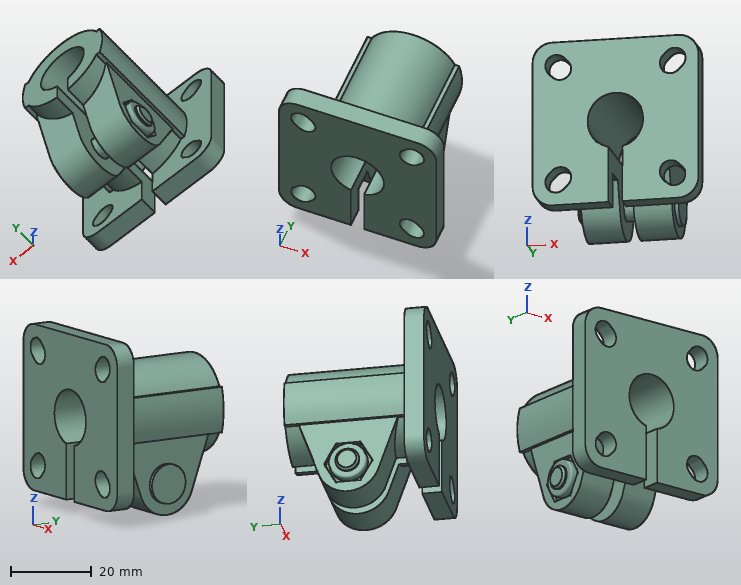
import cadquery as cq
import math


flange_size = 42.0
flange_thickness = 5.0
flange_corner_radius = 5.0

slot_width = 5.5
slot_inner_offset = 14.0
slot_outer_offset = 15.0

barrel_diameter = 25.0
barrel_length = 32.0
side_half_height = 5.75
side_edge_x = 12.25
side_crown_x = 13.05

bore_diameter = 14.1
slit_width = 3.5

ear_outer_x = 11.5
ear_tip_radius = 8.0
ear_root_half_width = 12.5
ear_root_z = -side_half_height

bolt_y = flange_thickness + barrel_length / 2
bolt_z = -17.0
bolt_diameter = 6.0
bolt_end_x = -13.5
bolt_end_chamfer = 0.6
bolt_head_diameter = 10.0
bolt_head_end_x = 12.5

pocket_across_flats = 10.6
nut_height = 6.0
nut_end_x = -12.5
nut_seat_x = nut_end_x + nut_height
nut_corner_diameter = 11.55
nut_face_diameter = 9.98
nut_chamfer_angle = 15.0
collar_diameter = 9.6
collar_height = 2.0
collar_fillet = 0.5

overall_length = flange_thickness + barrel_length


def xz_plane(y):
    """Sketch plane at the given Y: sketch x is X, sketch y is Z, extrusion goes to +Y."""
    return cq.Workplane(cq.Plane(origin=(0, y, 0), xDir=(1, 0, 0), normal=(0, -1, 0)))


def bolt_plane(x):
    """Sketch plane at the given X centred on the bolt axis: sketch x is Y, sketch y is Z."""
    return cq.Workplane(cq.Plane(origin=(x, bolt_y, bolt_z), xDir=(0, 1, 0), normal=(1, 0, 0)))


def make_flange():
    plate = xz_plane(0).rect(flange_size, flange_size).extrude(-flange_thickness)
    return plate.edges("|Y").fillet(flange_corner_radius)


def make_slots():
    """Cutters for the four diagonal slots."""
    middle = (slot_inner_offset + slot_outer_offset) / 2
    overall = math.sqrt(2) * (slot_outer_offset - slot_inner_offset) + slot_width
    slots = cq.Workplane()
    for side_x in (-1, 1):
        for side_z in (-1, 1):
            slot = (
                xz_plane(0)
                .center(side_x * middle, side_z * middle)
                .slot2D(overall, slot_width, 45 * side_x * side_z)
                .extrude(-flange_thickness)
            )
            slots = slots.add(slot)
    return slots.combine()


def make_barrel():
    """Round barrel joined with a band whose two ends are crowned."""
    tube = xz_plane(0).circle(barrel_diameter / 2).extrude(-overall_length)
    band = (
        xz_plane(0)
        .moveTo(-side_edge_x, side_half_height)
        .lineTo(side_edge_x, side_half_height)
        .threePointArc((side_crown_x, 0), (side_edge_x, -side_half_height))
        .lineTo(-side_edge_x, -side_half_height)
        .threePointArc((-side_crown_x, 0), (-side_edge_x, side_half_height))
        .close()
        .extrude(-overall_length)
    )
    return tube.union(band)


def make_ears():
    """Block with a round tip about the bolt and sides tangent to that tip."""
    root_height = ear_root_z - bolt_z
    root_distance = math.hypot(ear_root_half_width, root_height)
    root_angle = math.atan2(root_height, ear_root_half_width)
    tangent_angle = root_angle - math.acos(ear_tip_radius / root_distance)
    tangent_y = ear_tip_radius * math.cos(tangent_angle)
    tangent_z = ear_tip_radius * math.sin(tangent_angle)
    return (
        bolt_plane(-ear_outer_x)
        .moveTo(-ear_root_half_width, root_height)
        .lineTo(ear_root_half_width, root_height)
        .lineTo(tangent_y, tangent_z)
        .threePointArc((0, -ear_tip_radius), (-tangent_y, tangent_z))
        .close()
        .extrude(2 * ear_outer_x)
    )


def make_bore_and_slit():
    bore = xz_plane(0).circle(bore_diameter / 2).extrude(-overall_length)
    slit_depth = ear_tip_radius - bolt_z
    slit = xz_plane(0).center(0, -slit_depth / 2).rect(slit_width, slit_depth).extrude(-overall_length)
    return bore.union(slit)


def make_hexagon(start_x, end_x):
    """Hexagonal prism about the bolt axis with two corners along Y."""
    across_corners = pocket_across_flats / math.cos(math.pi / 6)
    return bolt_plane(start_x).polygon(6, across_corners).extrude(end_x - start_x)


def make_nut():
    """Hexagonal nut with a conical face and a rounded locking collar."""
    face_x = nut_end_x + collar_height
    cone_width = (nut_corner_diameter - nut_face_diameter) / 2
    cone_depth = cone_width * math.tan(math.radians(nut_chamfer_angle))
    body = (
        bolt_plane(nut_seat_x)
        .circle(nut_corner_diameter / 2)
        .extrude(face_x - nut_seat_x)
        .faces("<X")
        .chamfer(cone_depth, cone_width)
    )
    body = body.intersect(make_hexagon(nut_seat_x, face_x))
    collar = bolt_plane(nut_end_x).circle(collar_diameter / 2).extrude(collar_height)
    return body.union(collar.faces("<X").edges().fillet(collar_fillet))


def make_bolt():
    shank = bolt_plane(bolt_end_x).circle(bolt_diameter / 2).extrude(ear_outer_x - bolt_end_x)
    shank = shank.faces("<X").chamfer(bolt_end_chamfer)
    head = bolt_plane(ear_outer_x).circle(bolt_head_diameter / 2).extrude(bolt_head_end_x - ear_outer_x)
    return shank.union(head)


bracket = make_flange().union(make_barrel()).union(make_ears())
bracket = bracket.cut(make_slots()).cut(make_bore_and_slit())
bracket = bracket.cut(make_hexagon(-ear_outer_x, nut_seat_x))
result = bracket.union(make_nut()).union(make_bolt())